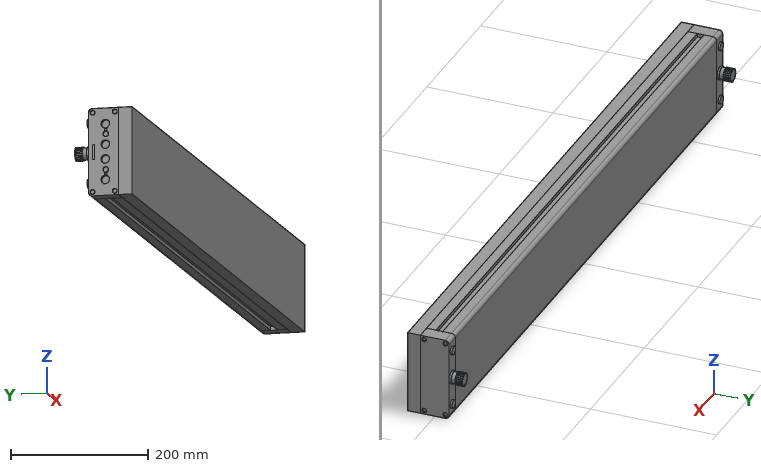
import cadquery as cq
import math

LENGTH = 1018.0
HEIGHT = 130.0
TOTAL_DEPTH = 86.2

FRONT_DEPTH = 20.0
BODY_BACK = 65.5
CORNER_RADIUS = 6.0

CAP_LENGTH = 23.0
PROFILE_LENGTH = LENGTH - 2 * CAP_LENGTH
GROOVE_START = 35.0
GROOVE_END = 45.5
GROOVE_DEPTH = 5.5

SCREW_DIAMETER = 7.0
SCREW_RECESS = 3.0
BACK_SCREW_Y = BODY_BACK - CORNER_RADIUS
FRONT_SCREW_Y = FRONT_DEPTH + CORNER_RADIUS
SCREW_Z = HEIGHT / 2 - CORNER_RADIUS

PORT_Y = 40.0
PORT_HEIGHTS = (11.0, 41.5)
PORT_DIAMETER = 12.5
PORT_DEPTH = 5.0
INDICATOR_Y = 39.5
INDICATORS = ((26.5, 8.0), (33.0, 4.0))
INDICATOR_DEPTH = 2.0
SLOT_Y = 58.0
SLOT_WIDTH = 3.0
SLOT_LENGTH = 22.0
SLOT_DEPTH = 1.0

KNOB_INSET = 10.5
FLANGE_DIAMETER = 20.5
FLANGE_THICKNESS = 3.0
NECK_DIAMETER = 18.0
KNOB_DIAMETER = 20.5
KNOB_THICKNESS = 11.5
KNURL_COUNT = 24
KNURL_DIAMETER = 2.0
FOOT_DIAMETER = 13.0
FOOT_THICKNESS = 3.0
FOOT_Z = 44.5


def block(x_start, x_end, y_start, y_end):
    """Full-height box centred on Z = 0."""
    return (
        cq.Workplane("XY", origin=((x_start + x_end) / 2, (y_start + y_end) / 2, 0))
        .box(x_end - x_start, y_end - y_start, HEIGHT)
    )


def rear_block(x_start, x_end):
    """Block behind the front bar, with both back edges rounded."""
    return block(x_start, x_end, FRONT_DEPTH, BODY_BACK).edges("|X and >Y").fillet(CORNER_RADIUS)


def back_cylinder(x, z, y_start, y_end, diameter):
    """Cylinder along Y."""
    return (
        cq.Workplane("XZ", origin=(x, y_start, z))
        .circle(diameter / 2)
        .extrude(-(y_end - y_start))
    )


def end_hole(side, y, z, diameter, depth):
    """Cutter for a round blind hole in the outer end face on the given side (-1 or +1)."""
    return (
        cq.Workplane("YZ", origin=(side * LENGTH / 2, y, z))
        .circle(diameter / 2)
        .extrude(-side * depth)
    )


def make_front_bar():
    return block(-LENGTH / 2, LENGTH / 2, 0, FRONT_DEPTH)


def make_profile():
    profile = rear_block(-PROFILE_LENGTH / 2, PROFILE_LENGTH / 2)
    for z_side in (-1, 1):
        groove = (
            cq.Workplane("XY")
            .box(PROFILE_LENGTH, GROOVE_END - GROOVE_START, 2 * GROOVE_DEPTH)
            .translate((0, (GROOVE_START + GROOVE_END) / 2, z_side * HEIGHT / 2))
        )
        profile = profile.cut(groove)
    return profile


def make_knob(x):
    """Flange, neck and knurled head along +Y."""
    head_start = TOTAL_DEPTH - KNOB_THICKNESS
    flange = back_cylinder(x, 0, BODY_BACK, BODY_BACK + FLANGE_THICKNESS, FLANGE_DIAMETER)
    neck = back_cylinder(x, 0, BODY_BACK, head_start, NECK_DIAMETER)
    head = back_cylinder(x, 0, head_start, TOTAL_DEPTH, KNOB_DIAMETER)
    for index in range(KNURL_COUNT):
        angle = 2 * math.pi * index / KNURL_COUNT
        knurl_x = x + KNOB_DIAMETER / 2 * math.cos(angle)
        knurl_z = KNOB_DIAMETER / 2 * math.sin(angle)
        head = head.cut(back_cylinder(knurl_x, knurl_z, head_start, TOTAL_DEPTH, KNURL_DIAMETER))
    return flange.union(neck).union(head)


def cut_screws(cap, side):
    """Four corner screw recesses."""
    for y in (FRONT_SCREW_Y, BACK_SCREW_Y):
        for z in (-SCREW_Z, SCREW_Z):
            cap = cap.cut(end_hole(side, y, z, SCREW_DIAMETER, SCREW_RECESS))
    return cap


def cut_ports(cap, side):
    """Ports and indicator recesses, mirrored about Z = 0, and one upright slot."""
    for z_side in (-1, 1):
        for height in PORT_HEIGHTS:
            cap = cap.cut(end_hole(side, PORT_Y, z_side * height, PORT_DIAMETER, PORT_DEPTH))
        for height, diameter in INDICATORS:
            cap = cap.cut(end_hole(side, INDICATOR_Y, z_side * height, diameter, INDICATOR_DEPTH))
    slot = (
        cq.Workplane("XY")
        .box(2 * SLOT_DEPTH, SLOT_WIDTH, SLOT_LENGTH)
        .translate((side * LENGTH / 2, SLOT_Y, 0))
    )
    return cap.cut(slot)


def make_end_cap(side):
    """End cap on the -X (side -1) or +X (side +1) end, with its knob and feet."""
    outer_x = side * LENGTH / 2
    inner_x = side * PROFILE_LENGTH / 2
    knob_x = outer_x - side * KNOB_INSET
    cap = rear_block(min(outer_x, inner_x), max(outer_x, inner_x))
    cap = cap.union(make_knob(knob_x))
    for z in (-FOOT_Z, FOOT_Z):
        foot = back_cylinder(knob_x, z, BODY_BACK, BODY_BACK + FOOT_THICKNESS, FOOT_DIAMETER)
        cap = cap.union(foot)
    cap = cut_screws(cap, side)
    if side < 0:
        cap = cut_ports(cap, side)
    return cap


front_bar = make_front_bar()
profile = make_profile()
end_caps = [make_end_cap(side) for side in (-1, 1)]

result = cq.Compound.makeCompound(
    [body.solids().val() for body in (front_bar, profile, *end_caps)]
)